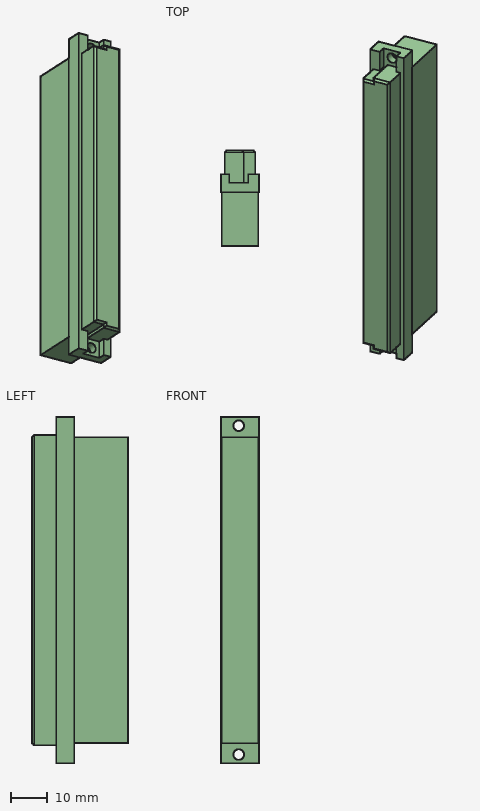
import cadquery as cq

flange_width = 10.5
flange_height = 94.78
flange_thickness = 5.0

body_width = 10.0
body_height = 83.8
body_depth = 14.7

nose_width = 8.4
nose_height = 85.0
nose_depth = 6.6
nose_chamfer = 0.6

step_x = 1.0
step_height = 1.0

hole_diameter = 2.85
hole_spacing = 90.0
mount_x = -0.35
slot_width = 5.2
slot_depth = 2.3

flange_front_y = body_depth
flange_back_y = flange_front_y + flange_thickness
slot_floor_y = flange_back_y - slot_depth


def block(width, depth, height, front_y):
    """Box centred in X and Z that starts at front_y and runs toward +Y."""
    return cq.Workplane("XY").box(width, depth, height).translate((0, front_y + depth / 2, 0))


def make_nose():
    """Nose with its +X side shortened at both ends and its tip edges chamfered."""
    half_width = nose_width / 2
    long_end = nose_height / 2
    short_end = long_end - step_height
    outline = [
        (-half_width, -long_end),
        (step_x, -long_end),
        (step_x, -short_end),
        (half_width, -short_end),
        (half_width, short_end),
        (step_x, short_end),
        (step_x, long_end),
        (-half_width, long_end),
    ]
    nose = (
        cq.Workplane("XZ", origin=(0, slot_floor_y, 0))
        .polyline(outline)
        .close()
        .extrude(-(slot_depth + nose_depth))
    )
    return nose.faces(">Y").edges().chamfer(nose_chamfer)


def make_flange():
    """Flange plate with a through hole and a back slot in each ear."""
    flange = block(flange_width, flange_thickness, flange_height, flange_front_y)
    slot = block(slot_width, slot_depth, flange_height, slot_floor_y).translate((mount_x, 0, 0))
    holes = (
        cq.Workplane("XZ", origin=(mount_x, flange_front_y, 0))
        .pushPoints([(0, -hole_spacing / 2), (0, hole_spacing / 2)])
        .circle(hole_diameter / 2)
        .extrude(-flange_thickness)
    )
    return flange.cut(slot).cut(holes)


body = block(body_width, body_depth, body_height, 0)
result = body.union(make_flange()).union(make_nose())